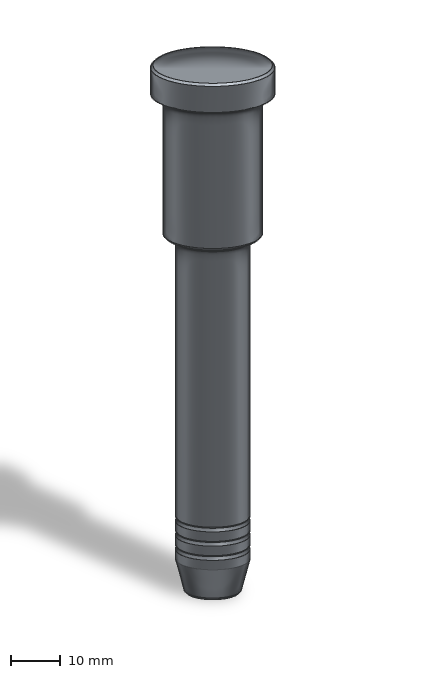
import cadquery as cq

total_length = 111.0

head_diameter = 25.0
head_radius = head_diameter / 2
head_height = 6.0
head_chamfer = 0.5

body_radius = 10.0
body_bottom = 75.0
body_chamfer = 0.5
undercut_depth = 0.3
undercut_width = 1.0

shank_diameter = 15.0
shank_radius = shank_diameter / 2
neck_radius = 7.0
neck_length = 1.0

taper_height = 7.0
tip_edge_radius = 5.8
tip_chamfer = 0.5

groove_count = 3
groove_pitch = 3.0
groove_width = 1.0
groove_depth = 0.3
groove_upper_flank = 0.3
lowest_groove_bottom = 9.0

head_bottom = total_length - head_height


def make_pin():
    """Revolve the stepped half profile about Z."""
    undercut_radius = body_radius - undercut_depth
    neck_bottom = body_bottom - neck_length
    profile = [
        (0, 0),
        (tip_edge_radius - tip_chamfer, 0),
        (tip_edge_radius, tip_chamfer),
        (shank_radius, taper_height),
        (shank_radius, neck_bottom),
        (neck_radius, neck_bottom),
        (neck_radius, body_bottom),
        (body_radius - body_chamfer, body_bottom),
        (body_radius, body_bottom + body_chamfer),
        (body_radius, head_bottom - undercut_width),
        (undercut_radius, head_bottom - undercut_width / 2),
        (body_radius, head_bottom),
        (head_radius, head_bottom),
        (head_radius, total_length - head_chamfer),
        (head_radius - head_chamfer, total_length),
        (0, total_length),
    ]
    return cq.Workplane("XZ").polyline(profile).close().revolve(360, (0, 0), (0, 1))


def make_groove(bottom):
    """Ring with a V-shaped section, steeper on its lower flank, that cuts one groove into the shank."""
    top = bottom + groove_width
    section = [
        (shank_radius, bottom),
        (shank_radius - groove_depth, top - groove_upper_flank),
        (shank_radius, top),
    ]
    return cq.Workplane("XZ").polyline(section).close().revolve(360, (0, 0), (0, 1))


result = make_pin()
for index in range(groove_count):
    result = result.cut(make_groove(lowest_groove_bottom + index * groove_pitch))